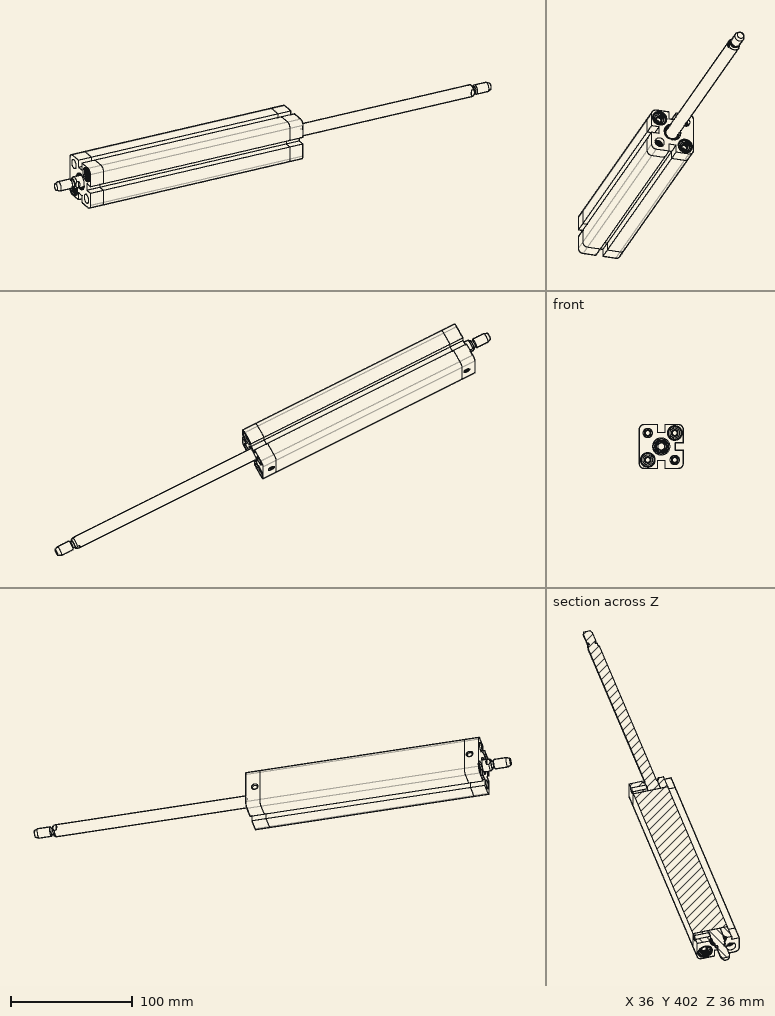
import cadquery as cq

total_length = 402.0
side = 36.0
corner_radius = 4.0
housing_length = 197.0
cap_length = 12.0
barrel_length = housing_length - 2 * cap_length
slot_width = 6.0
slot_depth = 6.5

corner_hole_spacing = 22.0
corner_hole_offset = corner_hole_spacing / 2
small_hole_steps = ((7.5, 5.0), (5.5, 6.5), (4.0, 8.0))
large_hole_steps = ((12.0, 1.2), (10.5, 2.0), (8.0, 3.0), (5.5, 3.5), (4.0, 8.0))
small_hole_corners = ((-1, 1), (1, -1))
large_hole_corners = ((1, 1), (-1, -1))

seat_steps = ((14.0, 1.2), (12.0, 2.5))

port_diameter = 4.0
port_rim_diameter = 5.5
port_from_end = 7.5

rod_diameter = 10.0
thread_diameter = 8.0
tip_diameter = 5.5
tip_length = 3.0
groove_diameter = 5.5
groove_length = 1.5
groove_taper_length = 1.0
stud_length = 15.5
shoulder_diameter = 7.5
shoulder_length = 1.5
flats_width = 8.5
flats_length = 3.2
flats_runout = 1.2
front_projection = 22.5
rear_projection = total_length - housing_length - front_projection


def slotted_block(start, length):
    """Square bar along Y with rounded corners and a slot in the +Z, -Z and +X sides."""
    block = (
        cq.Workplane("XZ", origin=(0, start, 0))
        .rect(side, side)
        .extrude(-length)
        .edges("|Y")
        .fillet(corner_radius)
    )
    slot_middle = (side - slot_depth) / 2
    slot = (
        cq.Workplane("XZ", origin=(0, start, 0))
        .center(0, slot_middle)
        .rect(slot_width, slot_depth)
        .extrude(-length)
    )
    for angle in (0, 90, 180):
        block = block.cut(slot.rotate((0, 0, 0), (0, 1, 0), angle))
    return block


def cut_stepped_hole(body, x, z, steps):
    """Cut coaxial holes into the face at Y = 0."""
    for diameter, depth in steps:
        body = body.cut(cq.Workplane("XZ", origin=(x, 0, z)).circle(diameter / 2).extrude(-depth))
    return body


def cut_port(body):
    """Cut the countersunk port from the -X face to the rod bore."""
    rim_depth = (port_rim_diameter - port_diameter) / 2
    port_face = cq.Workplane("YZ", origin=(-side / 2, port_from_end, 0))
    bore = port_face.circle(port_diameter / 2).extrude(side / 2)
    rim = (
        port_face.circle(port_rim_diameter / 2)
        .workplane(offset=rim_depth)
        .circle(port_diameter / 2)
        .loft()
    )
    return body.cut(bore).cut(rim)


def make_cap():
    """End cap with its outer face at Y = 0."""
    cap = slotted_block(0, cap_length)
    cap = cut_stepped_hole(cap, 0, 0, ((rod_diameter, cap_length), *seat_steps))
    for corners, steps in ((small_hole_corners, small_hole_steps), (large_hole_corners, large_hole_steps)):
        for x_sign, z_sign in corners:
            cap = cut_stepped_hole(cap, x_sign * corner_hole_offset, z_sign * corner_hole_offset, steps)
    return cut_port(cap)


def make_rod(projection):
    """Rod from the cap's inner face to a threaded tip at Y = -projection."""
    rod_radius = rod_diameter / 2
    thread_radius = thread_diameter / 2
    groove_radius = groove_diameter / 2
    tip = -projection
    shoulder = tip + stud_length
    groove_start = shoulder - groove_length
    half_profile = (
        (0, tip),
        (tip_diameter / 2, tip),
        (thread_radius, tip + tip_length),
        (thread_radius, groove_start - groove_taper_length),
        (groove_radius, groove_start),
        (groove_radius, shoulder),
        (shoulder_diameter / 2, shoulder),
        (rod_radius, shoulder + shoulder_length),
        (rod_radius, cap_length),
        (0, cap_length),
    )
    rod = cq.Workplane("XY").polyline(half_profile).close().revolve(360, (0, 0), (0, 1))

    inner = flats_width / 2
    outer = inner + flats_runout
    flat_end = shoulder + flats_length
    flat_outline = (
        (inner, shoulder),
        (inner, flat_end),
        (outer, flat_end + flats_runout),
        (outer, shoulder),
    )
    flat = cq.Workplane("XY").polyline(flat_outline).close().extrude(rod_diameter, both=True)
    return rod.cut(flat).cut(flat.mirror("YZ"))


def at_rear(body):
    """Mirror a body of the front end to the rear end."""
    return body.mirror("XZ").translate((0, housing_length, 0))


barrel = slotted_block(cap_length, barrel_length)
front_cap = make_cap()
rear_cap = at_rear(make_cap())
front_rod = make_rod(front_projection)
rear_rod = at_rear(make_rod(rear_projection))

result = cq.Compound.makeCompound(
    [barrel.val(), front_cap.val(), rear_cap.val(), front_rod.val(), rear_rod.val()]
)